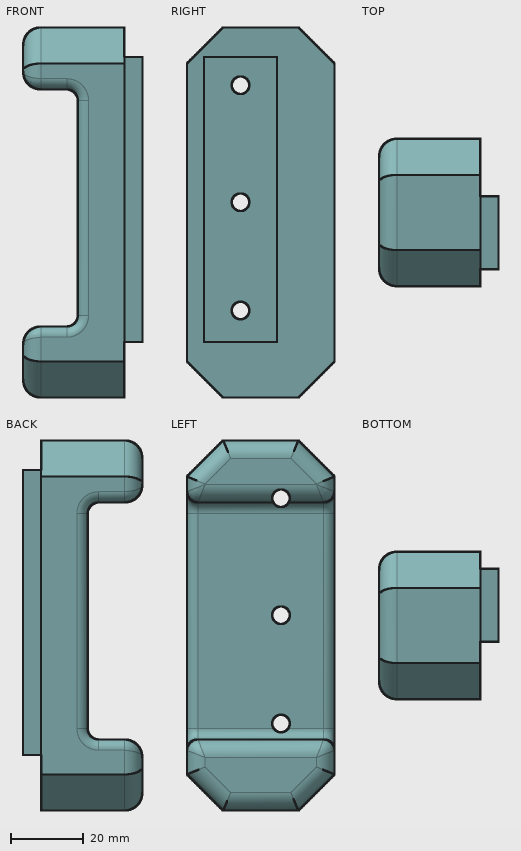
import cadquery as cq

body_width = 40.78
body_height = 102.27
body_depth = 28.0
wall_front = 15.1
upper_arm_height = 17.2
lower_arm_height = 19.7
corner_chamfer = 10.0

front_radius = 5.0
edge_radius = 3.0
corner_radius = 3.0

pad_thickness = 5.0
pad_width = 20.2
pad_height = 78.7
pad_side_offset = 4.7
pad_top_offset = 8.2

hole_diameter = 4.8
hole_depths_from_top = (16.0, 48.3, 78.2)

recess_bottom = lower_arm_height
recess_top = body_height - upper_arm_height
recess_height = recess_top - recess_bottom
pad_center_y = pad_side_offset + pad_width / 2
body_center_y = body_width / 2


def make_block():
    """Plain block with its four end corners cut off."""
    block = cq.Workplane("XY").box(body_depth, body_width, body_height, centered=False)
    return block.edges("|X").chamfer(corner_chamfer)


def cut_recess(body):
    """Open the space between the arms and round its two inner corners."""
    recess = (
        cq.Workplane("XY")
        .box(wall_front, body_width, recess_height, centered=False)
        .edges("|Y and >X")
        .fillet(corner_radius)
        .translate((0, 0, recess_bottom))
    )
    return body.cut(recess)


def round_edges(body):
    """Round the front face of each arm, then the side edges of the recess."""
    margin = 0.1
    recess_edges = cq.selectors.BoxSelector(
        (margin, -margin, recess_bottom - margin),
        (wall_front + margin, body_width + margin, recess_top + margin),
    )
    body = body.faces("<X").edges().fillet(front_radius)
    return body.edges(recess_edges).edges("<Y or >Y").fillet(edge_radius)


def make_pad():
    """Rectangular pad standing out from the back of the body."""
    pad_bottom = body_height - pad_top_offset - pad_height
    pad = cq.Workplane("XY").box(pad_thickness, pad_width, pad_height, centered=False)
    return pad.translate((body_depth, pad_side_offset, pad_bottom))


def make_holes():
    """Cylinders running along X through the whole part."""
    total_depth = body_depth + pad_thickness
    centers = [(pad_center_y, body_height - depth) for depth in hole_depths_from_top]
    return cq.Workplane("YZ").pushPoints(centers).circle(hole_diameter / 2).extrude(total_depth)


body = round_edges(cut_recess(make_block()))
part = body.union(make_pad()).cut(make_holes())
result = part.translate((0, -body_center_y, 0))